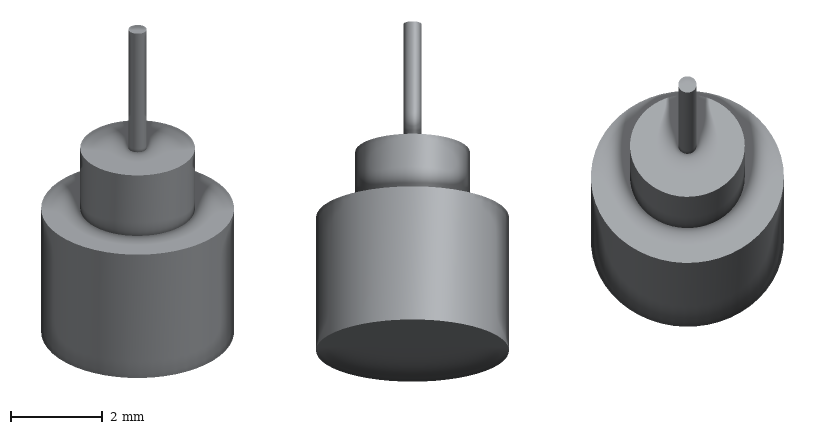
import cadquery as cq

total_height = 7.5
body_diameter = 4.2
body_height = 3.06
collar_diameter = 2.5
collar_height = 1.5
insulator_diameter = 1.95
pin_diameter = 0.4

collar_top = body_height + collar_height
pin_length = total_height - collar_top


def cylinder(diameter, height, base_z):
    """Upright cylinder on the Z axis, standing on base_z."""
    return cq.Workplane("XY").workplane(offset=base_z).circle(diameter / 2).extrude(height)


shell = cylinder(body_diameter, body_height, 0).union(
    cylinder(collar_diameter, collar_height, body_height)
)
insulator = cylinder(insulator_diameter, collar_height, body_height)
shell = shell.cut(insulator)

pin = cylinder(pin_diameter, pin_length, collar_top)
core = insulator.union(pin)

result = shell.union(core, clean=False)